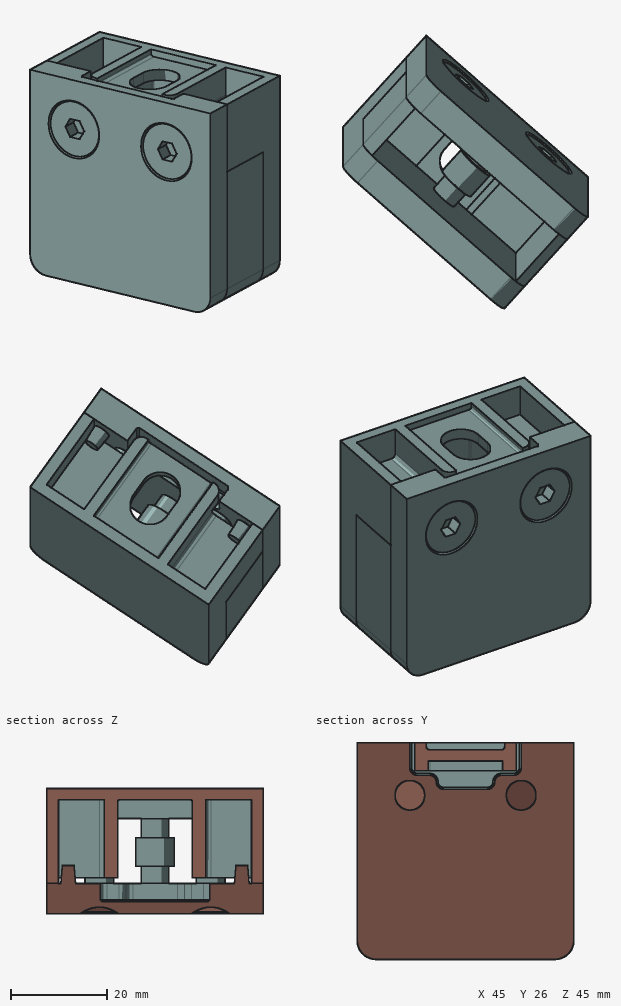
import cadquery as cq
import math


WIDTH = 45.0
DEPTH = 26.0
HEIGHT = 45.0
LOWER_CORNER_RADIUS = 4.0

COVER_THICKNESS = 6.3
BACK_PLATE_THICKNESS = 6.3
GLASS_SLOT_HEIGHT = 30.0
GLASS_SLOT_BACK = DEPTH - BACK_PLATE_THICKNESS

SIDE_WALL = 2.5
BACK_WALL = 2.4
INNER_BACK = DEPTH - BACK_WALL
INNER_HALF_WIDTH = WIDTH / 2 - SIDE_WALL
COVER_GAP = 1.12
HEAD_FRONT = COVER_THICKNESS + COVER_GAP
POCKET_FLOOR = 38.0
POCKET_FLOOR_RADIUS = 1.0
NOSE_WIDTH = 21.05
NOSE_FRONT = 3.6
NOSE_BOTTOM = 39.15
NOSE_CORNER_RADIUS = 2.0
NOSE_FRONT_WALL = 2.35

CHANNEL_WIDTH = 16.2
CHANNEL_DEPTH = 1.5
CHANNEL_FLOOR = HEIGHT - CHANNEL_DEPTH
CHANNEL_FLOOR_RADIUS = 0.65
WEB_THICKNESS = 2.4
SLOT_WIDTH = 8.32
SLOT_LENGTH = 12.0
SLOT_CENTRE_Y = 12.9
CAVITY_WIDTH = 15.4
CAVITY_TOP = CHANNEL_FLOOR - WEB_THICKNESS
CAVITY_CORNER_RADIUS = 0.3

SCREW_SPACING = 23.1
SCREW_X = (-SCREW_SPACING / 2, SCREW_SPACING / 2)
SCREW_Z = 34.05
SHANK_DIAMETER = 6.05
SCREW_HEAD_DIAMETER = 12.0
COUNTERSINK_DIAMETER = 12.7
SCREW_TIP = 20.0
HEX_ACROSS_FLATS = 4.05
HEX_DEPTH = 3.0

RECESS_FRONT = 2.55
RECESS_FLOOR = 38.25
RECESS_CORNER_RADIUS = 1.58
RECESS_CHAMFER = 0.35
DIP_WIDTH = 9.2
DIP_BEND_RADIUS = 1.45

PEG_X = 18.0
PEG_Z = 40.0
PEG_BASE_DIAMETER = 3.7
PEG_TIP_DIAMETER = 3.15
PEG_LENGTH = 3.75

PIN_DIAMETER = 5.75
PIN_Z = 22.5
SLEEVE_DIAMETER = 8.0
SLEEVE_LENGTH = 6.0
SLEEVE_FRONT = 9.8


def box(x_min, x_max, y_min, y_max, z_min, z_max):
    """Box between two limits on each axis."""
    size = (x_max - x_min, y_max - y_min, z_max - z_min)
    return cq.Workplane("XY").box(*size, centered=False).translate((x_min, y_min, z_min))


def rod(diameter, x, z, y_min, y_max):
    """Round rod parallel to Y."""
    solid = cq.Solid.makeCylinder(diameter / 2, y_max - y_min, cq.Vector(x, y_min, z), cq.Vector(0, 1, 0))
    return cq.Workplane(solid)


def cone(base_diameter, tip_diameter, x, z, y_min, length):
    """Truncated cone parallel to Y with its base at y_min."""
    solid = cq.Solid.makeCone(
        base_diameter / 2, tip_diameter / 2, length, cq.Vector(x, y_min, z), cq.Vector(0, 1, 0)
    )
    return cq.Workplane(solid)


def mirrored(shape):
    """Copy on the other side of the middle plane X = 0."""
    return shape.mirror("YZ")


def rounded_block(y_min, y_max):
    """Slice of the overall block, with its two lower corners rounded."""
    block = box(-WIDTH / 2, WIDTH / 2, y_min, y_max, 0, HEIGHT)
    return block.edges("|Y and <Z").fillet(LOWER_CORNER_RADIUS)


def countersunk_form(x, face_diameter, face_y, tip_y):
    """45 degree countersunk head running into a shank."""
    head_length = (face_diameter - SHANK_DIAMETER) / 2
    head = cone(face_diameter, SHANK_DIAMETER, x, SCREW_Z, face_y, head_length)
    return head.union(rod(SHANK_DIAMETER, x, SCREW_Z, face_y, tip_y))


def screw_hole(x):
    return countersunk_form(x, COUNTERSINK_DIAMETER, 0, SCREW_TIP)


def make_screw(x):
    head_face = (COUNTERSINK_DIAMETER - SCREW_HEAD_DIAMETER) / 2
    socket = (
        cq.Workplane("XZ", origin=(x, head_face, SCREW_Z))
        .polygon(6, HEX_ACROSS_FLATS / math.cos(math.pi / 6))
        .extrude(-HEX_DEPTH)
    )
    return countersunk_form(x, SCREW_HEAD_DIAMETER, head_face, SCREW_TIP).cut(socket)


def nose():
    half = NOSE_WIDTH / 2
    block = box(-half, half, NOSE_FRONT, HEAD_FRONT, NOSE_BOTTOM, HEIGHT)
    return block.edges("|Z and <Y").fillet(NOSE_CORNER_RADIUS)


def right_pocket():
    """Pocket beside the nose, with a rounded corner along the nose wall."""
    pocket = box(NOSE_WIDTH / 2, INNER_HALF_WIDTH, COVER_THICKNESS, INNER_BACK, POCKET_FLOOR, HEIGHT)
    return pocket.edges("|Y and <Z and <X").fillet(POCKET_FLOOR_RADIUS)


def channel():
    half = CHANNEL_WIDTH / 2
    trough = box(-half, half, NOSE_FRONT, INNER_BACK, CHANNEL_FLOOR, HEIGHT)
    return trough.edges("|Y and <Z").fillet(CHANNEL_FLOOR_RADIUS)


def web_slot():
    return (
        cq.Workplane("XY", origin=(0, SLOT_CENTRE_Y, CAVITY_TOP))
        .slot2D(SLOT_LENGTH, SLOT_WIDTH, 90)
        .extrude(CHANNEL_FLOOR - CAVITY_TOP)
    )


def cavity():
    half = CAVITY_WIDTH / 2
    front = NOSE_FRONT + NOSE_FRONT_WALL
    hollow = box(-half, half, front, INNER_BACK, GLASS_SLOT_HEIGHT, CAVITY_TOP)
    return hollow.edges("|Z").fillet(CAVITY_CORNER_RADIUS)


def make_housing():
    half = WIDTH / 2
    glass_slot = box(-half, half, COVER_THICKNESS, GLASS_SLOT_BACK, 0, GLASS_SLOT_HEIGHT)
    head_gap = box(
        -INNER_HALF_WIDTH, INNER_HALF_WIDTH, COVER_THICKNESS, HEAD_FRONT, GLASS_SLOT_HEIGHT, HEIGHT
    )
    body = rounded_block(COVER_THICKNESS, DEPTH).cut(glass_slot).cut(head_gap).union(nose())
    pocket = right_pocket()
    body = body.cut(pocket).cut(mirrored(pocket))
    body = body.cut(channel()).cut(web_slot()).cut(cavity())
    for x in SCREW_X:
        body = body.cut(screw_hole(x))
    return body


def nose_recess():
    """Recess open at the top, its floor dipping in the middle through S-shaped bends."""
    half = SCREW_SPACING / 2
    corner = RECESS_CORNER_RADIUS
    bend = DIP_BEND_RADIUS
    dip_edge = DIP_WIDTH / 2
    dip_wall = dip_edge + bend
    dip_shoulder = dip_wall + bend
    bend_z = RECESS_FLOOR - bend
    dip_floor = bend_z - bend
    recess = (
        cq.Workplane("XZ", origin=(0, RECESS_FRONT, 0))
        .moveTo(-half, HEIGHT)
        .lineTo(-half, RECESS_FLOOR + corner)
        .radiusArc((-half + corner, RECESS_FLOOR), -corner)
        .lineTo(-dip_shoulder, RECESS_FLOOR)
        .radiusArc((-dip_wall, bend_z), bend)
        .radiusArc((-dip_edge, dip_floor), -bend)
        .lineTo(dip_edge, dip_floor)
        .radiusArc((dip_wall, bend_z), -bend)
        .radiusArc((dip_shoulder, RECESS_FLOOR), bend)
        .lineTo(half - corner, RECESS_FLOOR)
        .radiusArc((half, RECESS_FLOOR + corner), -corner)
        .lineTo(half, HEIGHT)
        .close()
        .extrude(RECESS_FRONT - COVER_THICKNESS)
    )
    return recess.faces("<Y").edges("not >Z").chamfer(RECESS_CHAMFER)


def make_cover():
    cover = rounded_block(0, COVER_THICKNESS).cut(nose_recess())
    for x in SCREW_X:
        cover = cover.cut(screw_hole(x))
    for x in (-PEG_X, PEG_X):
        cover = cover.union(
            cone(PEG_BASE_DIAMETER, PEG_TIP_DIAMETER, x, PEG_Z, COVER_THICKNESS, PEG_LENGTH)
        )
    return cover


def make_left_side_strip():
    """Strip closing one end of the glass slot."""
    limits = box(
        -WIDTH / 2, -INNER_HALF_WIDTH, COVER_THICKNESS, GLASS_SLOT_BACK, 0, GLASS_SLOT_HEIGHT
    )
    return rounded_block(COVER_THICKNESS, GLASS_SLOT_BACK).intersect(limits)


def make_pin():
    return rod(PIN_DIAMETER, 0, PIN_Z, COVER_THICKNESS, GLASS_SLOT_BACK)


def make_sleeve():
    sleeve_back = SLEEVE_FRONT + SLEEVE_LENGTH
    outside = rod(SLEEVE_DIAMETER, 0, PIN_Z, SLEEVE_FRONT, sleeve_back)
    return outside.cut(rod(PIN_DIAMETER, 0, PIN_Z, SLEEVE_FRONT, sleeve_back))


housing = make_housing()
cover = make_cover()
screws = [make_screw(x) for x in SCREW_X]
left_strip = make_left_side_strip()
side_strips = [left_strip, mirrored(left_strip)]
pin = make_pin()
sleeve = make_sleeve()

bodies = [housing, cover, *screws, *side_strips, pin, sleeve]
result = cq.Compound.makeCompound([body.solids().val() for body in bodies])